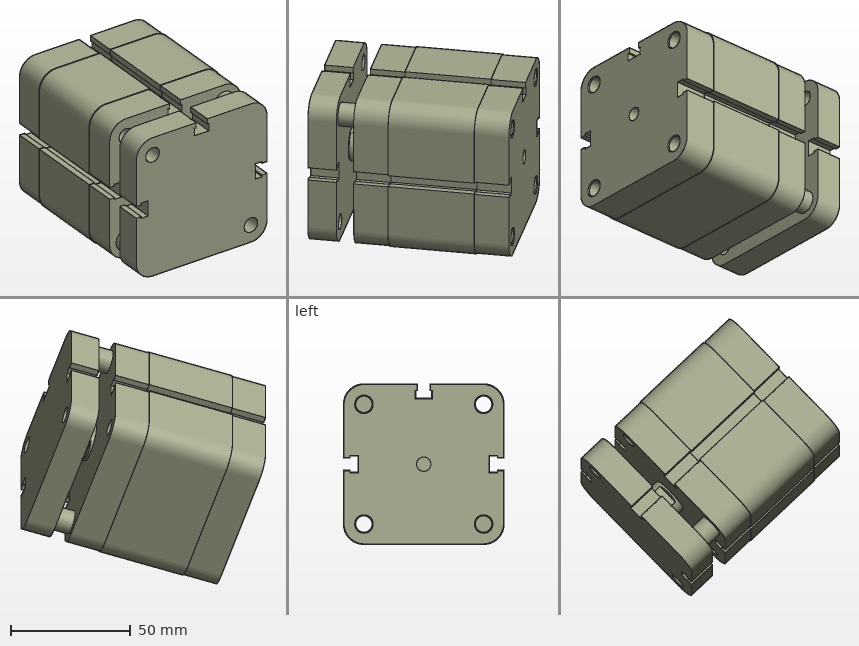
import cadquery as cq

total_length = 85.5
housing_length = 66.0
cap_length = 14.7
plate_thickness = 12.1
plate_start = total_length - plate_thickness
gap_length = plate_start - housing_length

barrel_size = 67.0
cap_inset = 0.3
hole_offset = 25.0

slot_neck_width = 5.05
slot_neck_depth = 2.8
slot_width = 6.7
slot_depth = 6.0

screw_hole_diameter = 6.8
screw_chamfer = 0.4
center_hole_diameter = 6.0
center_hole_depth = cap_length

guide_diameter = 10.0
piston_diameter = 16.0
piston_chamfer = 0.4
flat_spacing = 13.0
flat_start = 1.4
flat_ramp = 0.5

guide_corners = [(hole_offset, hole_offset), (-hole_offset, -hole_offset)]
open_corners = [(hole_offset, -hole_offset), (-hole_offset, hole_offset)]


def section_plane(x):
    """Cross-section plane at station x: local axes are Y and Z, extrusion goes toward +X."""
    return cq.Workplane("YZ", origin=(x, 0, 0))


def t_slot(x, length, inset):
    """T-slot along X, open toward +Z."""
    half_neck = slot_neck_width / 2 + inset
    half_width = slot_width / 2 + inset
    mouth = barrel_size / 2
    shoulder = mouth - slot_neck_depth
    floor = mouth - slot_depth - inset
    outline = [
        (-half_neck, mouth),
        (-half_neck, shoulder),
        (-half_width, shoulder),
        (-half_width, floor),
        (half_width, floor),
        (half_width, shoulder),
        (half_neck, shoulder),
        (half_neck, mouth),
    ]
    return section_plane(x).polyline(outline).close().extrude(length)


def slotted_block(x, length, inset):
    """Rounded square block with T-slots on the +Z, +Y and -Y sides."""
    size = barrel_size - 2 * inset
    block = section_plane(x).rect(size, size).extrude(length)
    block = block.edges("|X").fillet(size / 2 - hole_offset)
    for angle in (-90, 0, 90):
        slot = t_slot(x, length, inset).rotate((0, 0, 0), (1, 0, 0), angle)
        block = block.cut(slot)
    return block


def make_housing():
    """Barrel between two slightly smaller caps, with four screw holes through all three."""
    front_cap_start = housing_length - cap_length
    barrel_length = housing_length - 2 * cap_length
    housing = slotted_block(0, cap_length, cap_inset)
    housing = housing.union(slotted_block(cap_length, barrel_length, 0))
    housing = housing.union(slotted_block(front_cap_start, cap_length, cap_inset))

    corners = guide_corners + open_corners
    screw_circles = section_plane(0).pushPoints(corners).circle(screw_hole_diameter / 2)
    screw_holes = screw_circles.extrude(housing_length)
    countersinks = (
        section_plane(0)
        .pushPoints(corners)
        .circle(screw_hole_diameter / 2 + screw_chamfer)
        .extrude(screw_chamfer, taper=45)
    )
    center_hole = section_plane(0).circle(center_hole_diameter / 2).extrude(center_hole_depth)
    return housing.cut(screw_holes).cut(countersinks).cut(center_hole)


def make_plate():
    """Front plate, drilled through at the two corners that have no guide rod."""
    plate = slotted_block(plate_start, plate_thickness, cap_inset)
    holes = section_plane(plate_start).pushPoints(open_corners).circle(screw_hole_diameter / 2)
    return plate.cut(holes.extrude(plate_thickness))


def make_piston_rod():
    """Rod between housing and plate, with two wrench flats facing +Z and -Z."""
    rod = section_plane(housing_length).circle(piston_diameter / 2).extrude(gap_length)
    rod = rod.faces(">X").chamfer(piston_chamfer)
    flat_x = housing_length + flat_start
    rod_radius = piston_diameter / 2
    outline = [
        (flat_x, flat_spacing / 2),
        (plate_start, flat_spacing / 2),
        (plate_start, rod_radius),
        (flat_x - flat_ramp, rod_radius),
    ]
    flat = cq.Workplane("XZ").polyline(outline).close().extrude(rod_radius, both=True)
    return rod.cut(flat).cut(flat.mirror("XY"))


def make_guide_rod(y, z):
    """Plain rod between housing and plate."""
    return section_plane(housing_length).center(y, z).circle(guide_diameter / 2).extrude(gap_length)


housing = make_housing()
plate = make_plate()
piston_rod = make_piston_rod()
guide_rods = [make_guide_rod(y, z) for y, z in guide_corners]

result = cq.Compound.makeCompound(
    [housing.val(), plate.val(), piston_rod.val(), *[rod.val() for rod in guide_rods]]
)